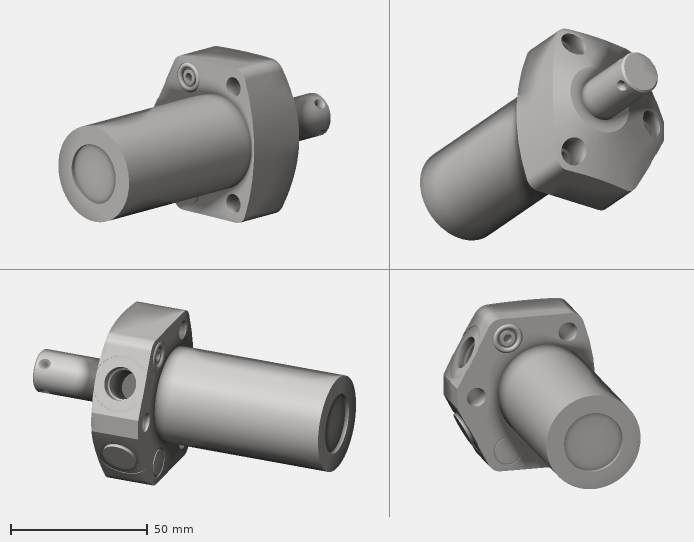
import cadquery as cq
import math

overall_length = 118.1

flange_height = 58.6
flange_left = 33.5
flange_right = 19.3
flange_thickness = 26.2
left_flat_height = 7.5
side_angle = 62.0
right_arc_radius = 74.4
corner_radius = 5.0
cone_angle = 20.0
cone_front_radius = 13.0

tail_length = 65.1
tail_diameter = 36.0
tail_recess_radius = 11.2
tail_recess_depth = 1.5

rod_radius = 8.0
rod_chamfer = 0.7
rod_end = overall_length - tail_length
dimple_radius = 2.4
dimple_offset = 4.0
dimple_depth = 2.4

bolt_diameter = 7.2
counterbore_radius = 5.0
counterbore_floor = 14.2
bolt_positions = [(-26.2, 0), (8.7, 22.2), (8.7, -22.2)]

port_spacing = 29.2
port_setback = 9.7
spot_radius = 10.5
spot_depth = 0.2
mouth_radius = 6.3
mouth_end_radius = 6.0
mouth_depth = 3.1
shoulder_depth = 0.6
bore_radius = 5.4
bore_depth = 16.9
plug_radius = 6.5
plug_height = 1.1

rear_port_x = -14.2
rear_port_z = 21.5
rear_port_diameter = 11.2
rear_port_radius = rear_port_diameter / 2
ring_section_radius = 1.0
ring_protrusion = 0.5
seat_depth = 1.4
nozzle_radius = 2.8
nozzle_setback = 0.2
orifice_radius = 1.7
orifice_depth = 3.5
rear_plug_diameter = 9.8
plug_gap_depth = 0.5


def cylinder_y(radius, start, end, x=0.0, z=0.0):
    """Cylinder parallel to Y between two Y positions."""
    base = cq.Vector(x, start, z)
    return cq.Workplane(obj=cq.Solid.makeCylinder(radius, end - start, base, cq.Vector(0, 1, 0)))


def make_flange():
    half_height = flange_height / 2
    half_flat = left_flat_height / 2
    shoulder_x = -flange_left + (half_height - half_flat) / math.tan(math.radians(side_angle))
    arc_drop = right_arc_radius - math.sqrt(right_arc_radius**2 - half_height**2)
    arc_end_x = flange_right - arc_drop
    body = (
        cq.Workplane("XZ")
        .moveTo(-flange_left, half_flat)
        .lineTo(shoulder_x, half_height)
        .lineTo(arc_end_x, half_height)
        .threePointArc((flange_right, 0), (arc_end_x, -half_height))
        .lineTo(shoulder_x, -half_height)
        .lineTo(-flange_left, -half_flat)
        .close()
        .extrude(-flange_thickness)
    )
    body = body.edges("|Y").edges(">Z or <Z").fillet(corner_radius)

    cone_rear_radius = cone_front_radius + flange_thickness / math.tan(math.radians(cone_angle))
    cone = cq.Solid.makeCone(
        cone_rear_radius, cone_front_radius, flange_thickness, cq.Vector(0, 0, 0), cq.Vector(0, 1, 0)
    )
    return body.intersect(cq.Workplane(obj=cone))


def make_rod():
    rod = cylinder_y(rod_radius, 0, rod_end).faces(">Y").chamfer(rod_chamfer)
    for angle in (45, 135, 225, 315):
        outward = cq.Vector(math.cos(math.radians(angle)), 0, math.sin(math.radians(angle)))
        start = outward * rod_radius + cq.Vector(0, rod_end - dimple_offset, 0)
        dimple = cq.Solid.makeCone(dimple_radius, 0, dimple_depth, start, -outward)
        rod = rod.cut(cq.Workplane(obj=dimple))
    return rod


def make_tail():
    tail = cylinder_y(tail_diameter / 2, -tail_length, 0)
    return tail.cut(cylinder_y(tail_recess_radius, -tail_length, -tail_length + tail_recess_depth))


def side_port_plane(side):
    """Plane on the upper (side = 1) or lower (side = -1) sloping face, with its normal pointing out."""
    slope = math.radians(side_angle)
    port_height = port_spacing / 2
    port_x = -flange_left + (port_height - left_flat_height / 2) / math.tan(slope)
    return cq.Plane(
        origin=(port_x, port_setback, side * port_height),
        xDir=(0, 1, 0),
        normal=(-math.sin(slope), 0, side * math.cos(slope)),
    )


def cut_side_ports(body):
    for side in (1, -1):
        spot = cq.Workplane(side_port_plane(side)).circle(spot_radius).extrude(-spot_depth)
        body = body.cut(spot)

    upper = side_port_plane(1)
    inward = -upper.zDir
    mouth = cq.Solid.makeCone(mouth_radius, mouth_end_radius, mouth_depth, upper.origin, inward)
    shoulder_start = upper.origin + inward * mouth_depth
    shoulder = cq.Solid.makeCone(mouth_end_radius, bore_radius, shoulder_depth, shoulder_start, inward)
    bore = cq.Workplane(upper).circle(bore_radius).extrude(-bore_depth)
    body = body.cut(cq.Workplane(obj=mouth)).cut(cq.Workplane(obj=shoulder)).cut(bore)

    plug = (
        cq.Workplane(side_port_plane(-1))
        .workplane(offset=-spot_depth)
        .circle(plug_radius)
        .extrude(spot_depth + plug_height)
    )
    return body.union(plug)


def add_rear_ports(body):
    body = body.cut(cylinder_y(rear_port_radius, 0, seat_depth, rear_port_x, rear_port_z))
    body = body.union(cylinder_y(nozzle_radius, nozzle_setback, seat_depth, rear_port_x, rear_port_z))
    body = body.cut(cylinder_y(orifice_radius, 0, orifice_depth, rear_port_x, rear_port_z))
    ring = cq.Solid.makeTorus(
        rear_port_radius - ring_section_radius,
        ring_section_radius,
        cq.Vector(rear_port_x, ring_section_radius - ring_protrusion, rear_port_z),
        cq.Vector(0, 1, 0),
    )
    body = body.union(cq.Workplane(obj=ring))

    gap = cylinder_y(rear_port_radius, 0, plug_gap_depth, rear_port_x, -rear_port_z)
    gap = gap.cut(cylinder_y(rear_plug_diameter / 2, 0, plug_gap_depth, rear_port_x, -rear_port_z))
    return body.cut(gap)


def cut_bolt_holes(body):
    for x, z in bolt_positions:
        body = body.cut(cylinder_y(bolt_diameter / 2, 0, flange_thickness, x, z))
        body = body.cut(cylinder_y(counterbore_radius, counterbore_floor, flange_thickness, x, z))
    return body


flange = cut_bolt_holes(add_rear_ports(cut_side_ports(make_flange())))
result = flange.union(make_tail()).union(make_rod())